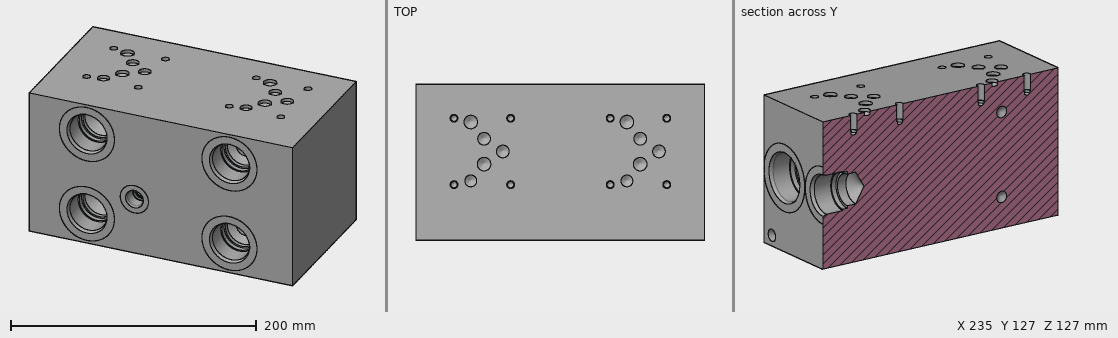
import cadquery as cq
import math

LENGTH = 235.0
WIDTH = 127.0
HEIGHT = 127.0
LEFT = -LENGTH / 2

DRILL_POINT_ANGLE = 118.0

SPOTFACE_DEPTH = 0.2
LARGE_PORT = {
    "spotface": 57.8,
    "mouth": 43.5,
    "seal": 41.4,
    "bore": 39.2,
    "seal depth": 3.5,
    "thread depth": 20.0,
    "bore depth": 24.5,
}
MEDIUM_PORT = {
    "spotface": 49.0,
    "mouth": 35.7,
    "seal": 33.4,
    "bore": 31.2,
    "seal depth": 3.5,
    "thread depth": 20.0,
    "bore depth": 24.5,
}
SMALL_PORT = {
    "spotface": 25.1,
    "mouth": 15.7,
    "seal": 14.3,
    "bore": 13.0,
    "seal depth": 2.5,
    "thread depth": 12.5,
    "bore depth": 15.3,
}

STATION_PITCH = 127.0

WORK_PORT_X = LEFT + 51.5
PORT_A_Z = 27.0
PORT_B_Z = 100.0
WORK_DRILL_DIAMETER = 28.7
WORK_DRILL_DEPTH = 28.2
INNER_DRILL_DIAMETER = 16.2
INNER_DRILL_DEPTH = 42.3

GAUGE_X = LEFT + 93.7
GAUGE_Z = 49.3
GAUGE_DRILL_DIAMETER = 11.0
GAUGE_DRILL_DEPTH = 16.5

TANK_Y = WIDTH - 28.7
TANK_DRILL_DIAMETER = 35.5
PRESSURE_Y = 44.5
PRESSURE_DRILL_DIAMETER = 27.0
END_DRILL_DEPTH = 33.0

MOUNT_INSET_Y = 11.3
MOUNT_Z = 9.5
MOUNT_THREAD_DIAMETER = 10.3
MOUNT_THREAD_DEPTH = 18.8
MOUNT_DRILL_DIAMETER = 8.0
MOUNT_DRILL_DEPTH = 23.5

STATION_X = LEFT + 31.0
STATION_Y = 45.3
BOLT_SPACING_X = 46.0
BOLT_SPACING_Y = 54.0
BOLT_THREAD_DIAMETER = 6.3
BOLT_THREAD_DEPTH = 14.0
BOLT_DRILL_DIAMETER = 5.2
BOLT_DRILL_DEPTH = 16.5
PASSAGES = [
    (13.6, 51.0, 11.0),
    (24.5, 37.4, 10.3),
    (39.7, 27.0, 10.3),
    (24.5, 16.7, 11.0),
    (13.6, 3.0, 9.6),
]
PASSAGE_DEPTH = 2.8


def point_depth(diameter):
    """Length of the cone that a drill of this diameter leaves."""
    return diameter / 2 / math.tan(math.radians(DRILL_POINT_ANGLE / 2))


def drill_profile(diameter, depth):
    """(radius, depth) points of a straight drilling with a pointed end."""
    return [(diameter / 2, depth), (0, depth + point_depth(diameter))]


def turned_cut(profile, plane):
    """Revolve (radius, depth) points about the plane's normal, going into the block."""
    outline = [(0, 0)] + [(radius, -depth) for radius, depth in profile]
    section = cq.Workplane("XZ").polyline(outline).close()
    cutter = section.revolve(360, (0, 0, 0), (0, 1, 0)).val()
    return cutter.located(cq.Location(plane))


def front_plane(x, z):
    return cq.Plane(origin=(x, 0, z), xDir=(1, 0, 0), normal=(0, -1, 0))


def end_plane(y, z):
    return cq.Plane(origin=(LEFT, y, z), xDir=(0, -1, 0), normal=(-1, 0, 0))


def top_plane(x, y):
    return cq.Plane(origin=(x, y, HEIGHT), xDir=(1, 0, 0), normal=(0, 0, 1))


def port_profile(port, drill_diameter, drill_depth):
    """Spotface, tapered O-ring seat, thread, tap bore and drill of one port."""
    seal_depth = port["seal depth"]
    thread_depth = port["thread depth"]
    bore_depth = port["bore depth"]
    return [
        (port["spotface"] / 2, 0),
        (port["spotface"] / 2, SPOTFACE_DEPTH),
        (port["mouth"] / 2, SPOTFACE_DEPTH),
        (port["seal"] / 2, seal_depth),
        (port["seal"] / 2, thread_depth),
        (port["bore"] / 2, thread_depth),
        (port["bore"] / 2, bore_depth),
        (drill_diameter / 2, bore_depth),
    ] + drill_profile(drill_diameter, drill_depth)


def tapped_profile(thread_diameter, thread_depth, drill_diameter, drill_depth):
    """Thread bore with a narrower pointed drilling below it."""
    return [
        (thread_diameter / 2, 0),
        (thread_diameter / 2, thread_depth),
        (drill_diameter / 2, thread_depth),
    ] + drill_profile(drill_diameter, drill_depth)


def work_ports():
    profile = port_profile(MEDIUM_PORT, WORK_DRILL_DIAMETER, WORK_DRILL_DEPTH)
    inner_drill = [(INNER_DRILL_DIAMETER / 2, 0)] + drill_profile(INNER_DRILL_DIAMETER, INNER_DRILL_DEPTH)
    cuts = []
    for z in (PORT_A_Z, PORT_B_Z):
        first = front_plane(WORK_PORT_X, z)
        second = front_plane(WORK_PORT_X + STATION_PITCH, z)
        cuts += [turned_cut(profile, first), turned_cut(profile, second), turned_cut(inner_drill, second)]
    return cuts


def gauge_port():
    profile = port_profile(SMALL_PORT, GAUGE_DRILL_DIAMETER, GAUGE_DRILL_DEPTH)
    return [turned_cut(profile, front_plane(GAUGE_X, GAUGE_Z))]


def end_ports():
    tank = port_profile(LARGE_PORT, TANK_DRILL_DIAMETER, END_DRILL_DEPTH)
    pressure = port_profile(MEDIUM_PORT, PRESSURE_DRILL_DIAMETER, END_DRILL_DEPTH)
    return [
        turned_cut(tank, end_plane(TANK_Y, HEIGHT / 2)),
        turned_cut(pressure, end_plane(PRESSURE_Y, HEIGHT / 2)),
    ]


def mounting_holes():
    profile = tapped_profile(
        MOUNT_THREAD_DIAMETER, MOUNT_THREAD_DEPTH, MOUNT_DRILL_DIAMETER, MOUNT_DRILL_DEPTH
    )
    return [turned_cut(profile, end_plane(y, MOUNT_Z)) for y in (MOUNT_INSET_Y, WIDTH - MOUNT_INSET_Y)]


def valve_station(x0):
    bolt = tapped_profile(BOLT_THREAD_DIAMETER, BOLT_THREAD_DEPTH, BOLT_DRILL_DIAMETER, BOLT_DRILL_DEPTH)
    cuts = []
    for dx in (0, BOLT_SPACING_X):
        for dy in (0, BOLT_SPACING_Y):
            cuts.append(turned_cut(bolt, top_plane(x0 + dx, STATION_Y + dy)))
    for dx, dy, diameter in PASSAGES:
        passage = [(diameter / 2, 0)] + drill_profile(diameter, PASSAGE_DEPTH)
        cuts.append(turned_cut(passage, top_plane(x0 + dx, STATION_Y + dy)))
    return cuts


block = cq.Workplane("XY").box(LENGTH, WIDTH, HEIGHT, centered=(True, False, False))
cutters = work_ports() + gauge_port() + end_ports() + mounting_holes()
for x0 in (STATION_X, STATION_X + STATION_PITCH):
    cutters += valve_station(x0)

result = cq.Workplane(block.val().cut(*cutters))